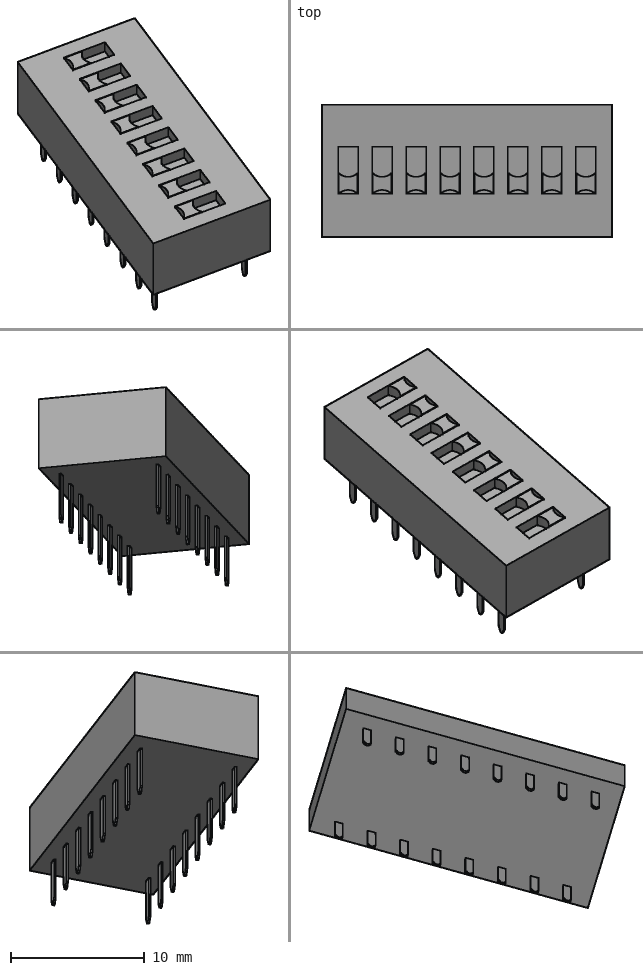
import cadquery as cq

body_length = 21.68
body_width = 9.9
body_height = 5.45
total_height = 9.2

position_count = 8
pitch = 2.54

slot_length = 3.5
slot_width = 1.5
slot_depth = 0.98
slot_center_y = 0.05

side_gap = 0.055
slider_length = 1.55
end_hollow = 0.28

row_spacing = 7.59
pin_width = 0.6
pin_thickness = 0.15
pin_length = total_height - body_height
tip_length = 0.5
tip_width = 0.2

positions_x = [(i - (position_count - 1) / 2) * pitch for i in range(position_count)]
slot_floor_z = body_height - slot_depth


def make_housing():
    """Solid box resting on Z = 0, with one slot per switch position."""
    box = cq.Workplane("XY").box(body_length, body_width, body_height, centered=(True, True, False))
    slots = (
        cq.Workplane("XY", origin=(0, 0, slot_floor_z))
        .pushPoints([(x, slot_center_y) for x in positions_x])
        .rect(slot_width, slot_length)
        .extrude(slot_depth)
    )
    return box.cut(slots)


def make_slider(x):
    """Slider at the -Y end of its slot, with both ends hollowed by an arc."""
    half_width = slot_width / 2 - side_gap
    front_y = slot_center_y - slot_length / 2
    back_y = front_y + slider_length
    return (
        cq.Workplane("XY", origin=(x, 0, slot_floor_z))
        .moveTo(-half_width, front_y)
        .threePointArc((0, front_y + end_hollow), (half_width, front_y))
        .lineTo(half_width, back_y)
        .threePointArc((0, back_y - end_hollow), (-half_width, back_y))
        .close()
        .extrude(slot_depth)
    )


def make_pin(x, y):
    """Flat pin below the housing, tapering in width to a blunt tip."""
    taper_z = tip_length - pin_length
    outline = [
        (-pin_width / 2, 0),
        (-pin_width / 2, taper_z),
        (-tip_width / 2, -pin_length),
        (tip_width / 2, -pin_length),
        (pin_width / 2, taper_z),
        (pin_width / 2, 0),
    ]
    return (
        cq.Workplane("XZ", origin=(x, y, 0))
        .polyline(outline)
        .close()
        .extrude(pin_thickness / 2, both=True)
    )


result = make_housing()
for position_x in positions_x:
    result = result.union(make_slider(position_x))
    for row_y in (-row_spacing / 2, row_spacing / 2):
        result = result.union(make_pin(position_x, row_y))